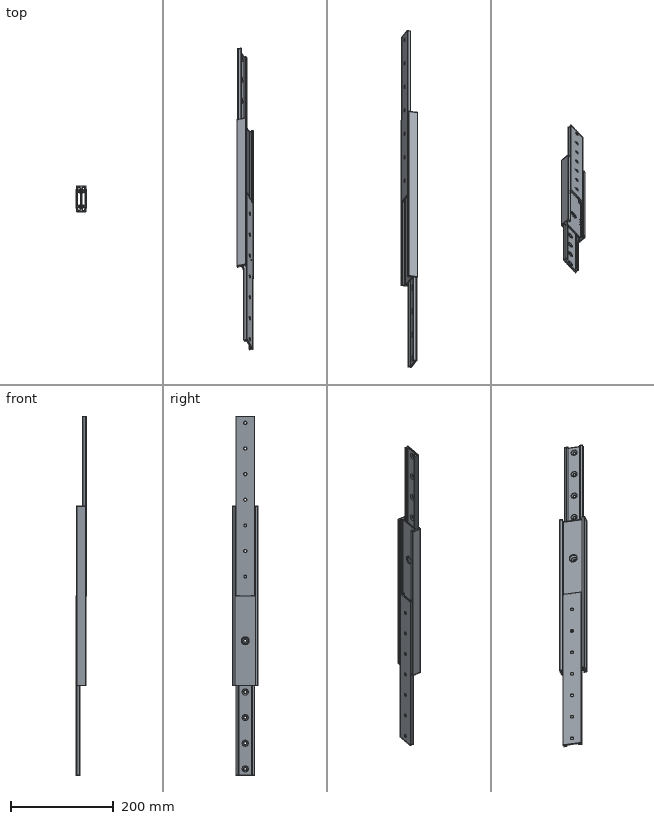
import cadquery as cq

FULL_LENGTH = 700.0
BODY_LENGTH = FULL_LENGTH / 2
CARRIER_BOTTOM = BODY_LENGTH / 2

SLIDE_DEPTH = 19.5
CARRIER_DEPTH = 19.0
CARRIER_WIDTH = 50.5
WEB_THICKNESS = 2.0
FLANGE_THICKNESS = 3.0
LIP_REACH = 3.0
LIP_THICKNESS = 3.0
SHOULDER_THICKNESS = 5.5
CARRIER_CHAMFER = 1.05

RAIL_WIDTH = 36.5
RAIL_DEPTH = 7.0
RAIL_WEB_THICKNESS = 3.0
TROUGH_MOUTH_WIDTH = 24.0
TROUGH_FLOOR_WIDTH = 28.0
TIP_BEVEL = 2.0
TIP_BEVEL_DEPTH = 1.0
RAIL_EDGE_HEIGHT = 1.5
RACEWAY_DEPTH = 1.5

HOLE_COUNT = 7
HOLE_PITCH = BODY_LENGTH / HOLE_COUNT
END_DISTANCE = HOLE_PITCH / 4
HOLE_DIAMETER = 5.5
COUNTERSINK_DIAMETER = 12.0
COUNTERSINK_DEPTH = 2.0
ACCESS_HOLE_DIAMETER = 15.5
ACCESS_HOLE_INDEX = 5

OUTER_FACE = SLIDE_DEPTH / 2
CARRIER_FACE = CARRIER_DEPTH / 2
HOLE_OFFSETS = [END_DISTANCE + i * HOLE_PITCH for i in range(HOLE_COUNT)]
ACCESS_OFFSET = HOLE_OFFSETS[ACCESS_HOLE_INDEX]


def x_cylinder(diameter, x_start, x_end, z):
    """Round cutter along X at height z, centred on the slide."""
    return cq.Workplane("YZ", origin=(x_start, 0, z)).circle(diameter / 2).extrude(x_end - x_start)


def make_carrier():
    """H-shaped double channel with lips that hook around both rails."""
    inner_height = CARRIER_WIDTH - 2 * FLANGE_THICKNESS
    lip_gap = inner_height - 2 * LIP_REACH
    base = cq.Workplane("XY", origin=(0, 0, CARRIER_BOTTOM))
    carrier = base.rect(CARRIER_DEPTH, CARRIER_WIDTH).extrude(BODY_LENGTH)
    carrier = carrier.edges("|Z").chamfer(CARRIER_CHAMFER)

    shoulder_face = SHOULDER_THICKNESS / 2
    lip_face = CARRIER_FACE - LIP_THICKNESS
    for side in (-1, 1):
        groove = base.center(side * (shoulder_face + lip_face) / 2, 0)
        carrier = carrier.cut(groove.rect(lip_face - shoulder_face, inner_height).extrude(BODY_LENGTH))
        channel_depth = CARRIER_FACE - WEB_THICKNESS / 2
        channel = base.center(side * (CARRIER_FACE - channel_depth / 2), 0)
        carrier = carrier.cut(channel.rect(channel_depth, lip_gap).extrude(BODY_LENGTH))

    for z in (ACCESS_OFFSET, FULL_LENGTH - ACCESS_OFFSET):
        carrier = carrier.cut(x_cylinder(ACCESS_HOLE_DIAMETER, -CARRIER_FACE, CARRIER_FACE, z))
    return carrier


def make_lower_rail():
    """C-shaped rail at the -X side, standing on z = 0."""
    half_width = RAIL_WIDTH / 2
    tip = RAIL_DEPTH - OUTER_FACE
    edge_end = RAIL_EDGE_HEIGHT - OUTER_FACE
    raceway_middle = ((tip + edge_end) / 2, half_width - RACEWAY_DEPTH)

    profile = (
        cq.Workplane("XY")
        .moveTo(-OUTER_FACE, -half_width)
        .lineTo(-OUTER_FACE, half_width)
        .lineTo(edge_end, half_width)
        .threePointArc(raceway_middle, (tip, half_width))
        .lineTo(tip, -half_width)
        .threePointArc((raceway_middle[0], -raceway_middle[1]), (edge_end, -half_width))
        .close()
    )
    rail = profile.extrude(BODY_LENGTH)

    web_face = RAIL_WEB_THICKNESS - OUTER_FACE
    bevel_start = tip - TIP_BEVEL_DEPTH
    trough = (
        cq.Workplane("XY")
        .moveTo(web_face, -TROUGH_FLOOR_WIDTH / 2)
        .lineTo(web_face, TROUGH_FLOOR_WIDTH / 2)
        .lineTo(bevel_start, TROUGH_MOUTH_WIDTH / 2)
        .lineTo(tip, TROUGH_MOUTH_WIDTH / 2 + TIP_BEVEL)
        .lineTo(tip, -TROUGH_MOUTH_WIDTH / 2 - TIP_BEVEL)
        .lineTo(bevel_start, -TROUGH_MOUTH_WIDTH / 2)
        .close()
        .extrude(BODY_LENGTH)
    )
    rail = rail.cut(trough)

    sink_bottom = web_face - COUNTERSINK_DEPTH
    for z in HOLE_OFFSETS:
        rail = rail.cut(x_cylinder(HOLE_DIAMETER, -OUTER_FACE, web_face, z))
        countersink = cq.Solid.makeCone(
            HOLE_DIAMETER / 2,
            COUNTERSINK_DIAMETER / 2,
            COUNTERSINK_DEPTH,
            pnt=cq.Vector(sink_bottom, 0, z),
            dir=cq.Vector(1, 0, 0),
        )
        rail = rail.cut(cq.Workplane(obj=countersink))
    return rail


carrier = make_carrier()
lower_rail = make_lower_rail()
upper_rail = lower_rail.rotate((0, 0, FULL_LENGTH / 2), (0, 1, FULL_LENGTH / 2), 180)

result = cq.Compound.makeCompound([carrier.val(), lower_rail.val(), upper_rail.val()])